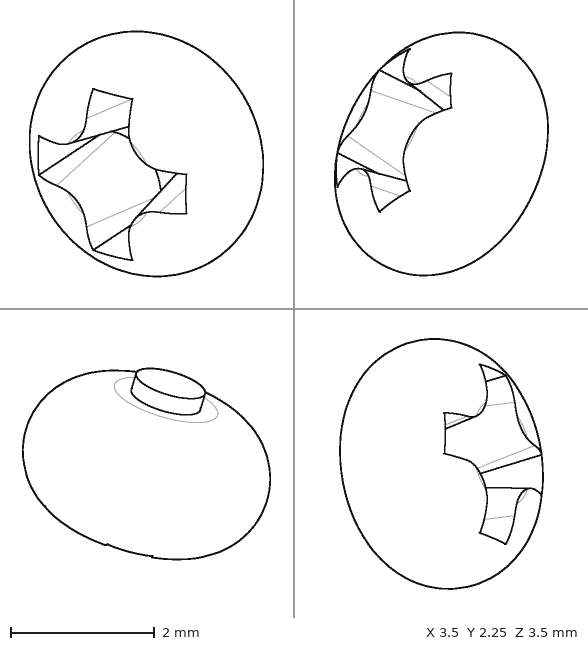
import cadquery as cq

head_radius = 1.75
total_length = 2.25
edge_radius = 1.0
head_depth = 2 * edge_radius
face_radius = head_radius - edge_radius

pin_diameter = 1.0

recess_depth = 1.5
recess_taper = 10.0
arm_length = 2.5
vertical_arm_width = 0.705
horizontal_arm_width = 0.645
inner_corner_radius = 0.5

front_plane = cq.Plane(origin=(0, 0, 0), xDir=(1, 0, 0), normal=(0, 1, 0))


def make_head():
    """Revolve a half profile with a semicircular rim around the Y axis."""
    return (
        cq.Workplane("XY")
        .lineTo(face_radius, 0)
        .threePointArc((head_radius, edge_radius), (face_radius, head_depth))
        .lineTo(0, head_depth)
        .close()
        .revolve(360, (0, 0, 0), (0, 1, 0))
    )


def make_pin():
    """Start the pin inside the head, behind the recess, so the two join solidly."""
    return (
        cq.Workplane(front_plane)
        .workplane(offset=head_depth - (head_depth - recess_depth) / 2)
        .circle(pin_diameter / 2)
        .extrude(total_length - head_depth + (head_depth - recess_depth) / 2)
    )


def make_recess():
    """Cross with rounded inner corners, narrowing toward its flat floor."""
    half_length = arm_length / 2
    half_vertical = vertical_arm_width / 2
    half_horizontal = horizontal_arm_width / 2
    arc_start_x = half_vertical + inner_corner_radius
    arc_start_y = half_horizontal + inner_corner_radius

    outline = cq.Workplane(front_plane).moveTo(half_length, -half_horizontal)
    outline = (
        outline.lineTo(half_length, half_horizontal)
        .lineTo(arc_start_x, half_horizontal)
        .radiusArc((half_vertical, arc_start_y), inner_corner_radius)
        .lineTo(half_vertical, half_length)
        .lineTo(-half_vertical, half_length)
        .lineTo(-half_vertical, arc_start_y)
        .radiusArc((-arc_start_x, half_horizontal), inner_corner_radius)
        .lineTo(-half_length, half_horizontal)
        .lineTo(-half_length, -half_horizontal)
        .lineTo(-arc_start_x, -half_horizontal)
        .radiusArc((-half_vertical, -arc_start_y), inner_corner_radius)
        .lineTo(-half_vertical, -half_length)
        .lineTo(half_vertical, -half_length)
        .lineTo(half_vertical, -arc_start_y)
        .radiusArc((arc_start_x, -half_horizontal), inner_corner_radius)
        .close()
    )
    return outline.extrude(recess_depth, taper=recess_taper)


result = make_head().union(make_pin()).cut(make_recess())